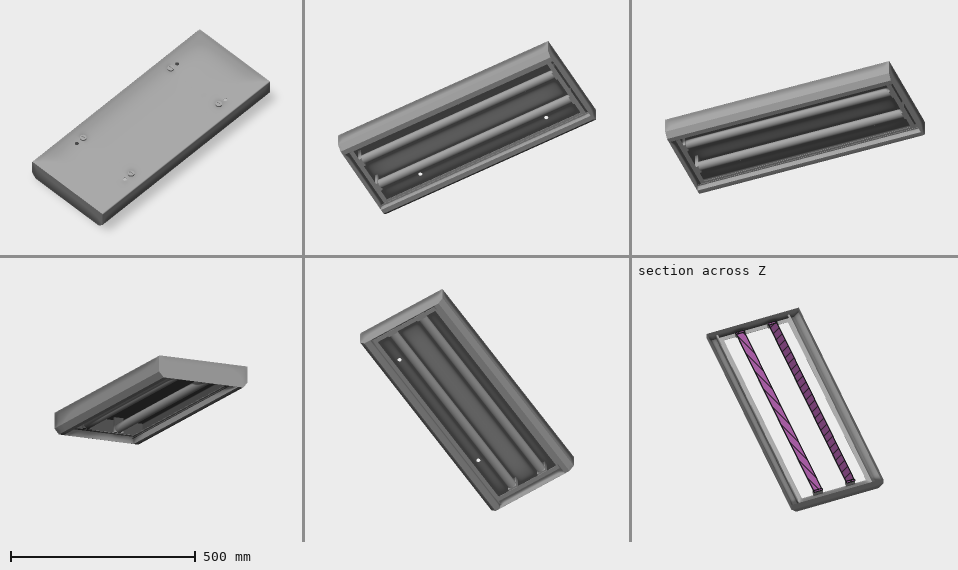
import cadquery as cq

length = 650.0
width = 266.0
total_height = 65.0
head_height = 4.5
body_height = total_height - head_height
half_width = width / 2

sheet = 0.8
bend_radius = 2.9
slope_width = 13.5
slope_height = 15.0
inner_length = length - 2 * sheet
sheet_underside = body_height - sheet

lip_height = 16.0
lip_gap_half = half_width - 28.0
lip_ledge = 4.5

fixing_x = 90.5
head_y = 170.0
head_diameter = 18.0
driver_slot_length = 13.0
driver_slot_width = 4.2
driver_slot_depth = 2.0
hole_y = 195.0
hole_diameter = 11.0

lamp_x = 47.0
lamp_z = 30.5
lamp_diameter = 25.0
pin_diameter = 2.0
pin_length = 6.5
pin_pitch = 13.0

socket_y = 299.5
socket_width = 26.0
socket_thickness = 8.5
socket_bottom = lamp_z - lamp_diameter / 2
lamp_length = 2 * socket_y - socket_thickness

frame_opening_half = 93.0
frame_bar = lip_gap_half - frame_opening_half
frame_length = 624.0
frame_thickness = 1.0


def four_places(x, y):
    """Mirrored positions about both centre lines."""
    return [(side * x, end * y) for side in (-1, 1) for end in (-1, 1)]


def block(x_min, x_max, z_min, z_max, run):
    """Box centred along Y between the given X and Z limits."""
    return (
        cq.Workplane("XY")
        .box(x_max - x_min, run, z_max - z_min)
        .translate(((x_min + x_max) / 2, 0, (z_min + z_max) / 2))
    )


def trough_block(inset):
    """Solid trough shape, shrunk by inset on every side, with rounded top edges."""
    outline = (
        cq.Workplane("XZ")
        .moveTo(-half_width, body_height)
        .lineTo(half_width, body_height)
        .lineTo(half_width, slope_height)
        .lineTo(half_width - slope_width, 0)
        .lineTo(slope_width - half_width, 0)
        .lineTo(-half_width, slope_height)
        .close()
    )
    if inset > 0:
        outline = outline.offset2D(-inset, "intersection")
    solid = outline.extrude(length / 2 - inset, both=True)
    return solid.edges("|Y and >Z").fillet(bend_radius - inset)


def lip():
    """Upturned lip on the +X side, ending in a ledge that points inwards."""
    web = block(lip_gap_half, lip_gap_half + sheet, 0, lip_height, inner_length)
    ledge = block(
        lip_gap_half - lip_ledge, lip_gap_half + sheet, lip_height - sheet, lip_height, inner_length
    )
    return web.union(ledge)


def button_heads():
    heads = (
        cq.Workplane("XY", origin=(0, 0, body_height))
        .pushPoints(four_places(fixing_x, head_y))
        .circle(head_diameter / 2)
        .extrude(head_height)
    )
    driver_slots = (
        cq.Workplane("XY", origin=(0, 0, total_height))
        .pushPoints(four_places(fixing_x, head_y))
        .slot2D(driver_slot_length, driver_slot_width)
        .extrude(-driver_slot_depth)
    )
    return heads.cut(driver_slots)


def sockets():
    return (
        cq.Workplane("XY", origin=(0, 0, socket_bottom))
        .pushPoints(four_places(lamp_x, socket_y))
        .rect(socket_width, socket_thickness)
        .extrude(sheet_underside - socket_bottom)
    )


def make_lamp(x):
    tube = (
        cq.Workplane("XZ", origin=(x, 0, lamp_z))
        .circle(lamp_diameter / 2)
        .extrude(lamp_length / 2, both=True)
    )
    pins = (
        cq.Workplane("XZ", origin=(x, 0, lamp_z))
        .pushPoints([(-pin_pitch / 2, 0), (pin_pitch / 2, 0)])
        .circle(pin_diameter / 2)
        .extrude(lamp_length / 2 + pin_length, both=True)
    )
    return tube.union(pins)


def make_housing(lamps):
    housing = trough_block(0).cut(trough_block(sheet))
    housing = housing.cut(block(-lip_gap_half, lip_gap_half, 0, sheet, inner_length))
    housing = housing.union(lip()).union(lip().mirror("YZ"))
    housing = housing.union(button_heads()).union(sockets())
    fixing_holes = (
        cq.Workplane("XY", origin=(0, 0, sheet_underside))
        .pushPoints(four_places(fixing_x, hole_y))
        .circle(hole_diameter / 2)
        .extrude(sheet)
    )
    housing = housing.cut(fixing_holes)
    for lamp in lamps:
        housing = housing.cut(lamp)
    return housing


def make_frame():
    return (
        cq.Workplane("XY", origin=(0, 0, lip_height))
        .rect(2 * lip_gap_half, frame_length)
        .rect(2 * frame_opening_half, frame_length - 2 * frame_bar)
        .extrude(frame_thickness)
    )


lamps = [make_lamp(side * lamp_x) for side in (-1, 1)]
housing = make_housing(lamps)
frame = make_frame()

result = cq.Compound.makeCompound([housing.solids().val(), frame.val(), *[lamp.val() for lamp in lamps]])